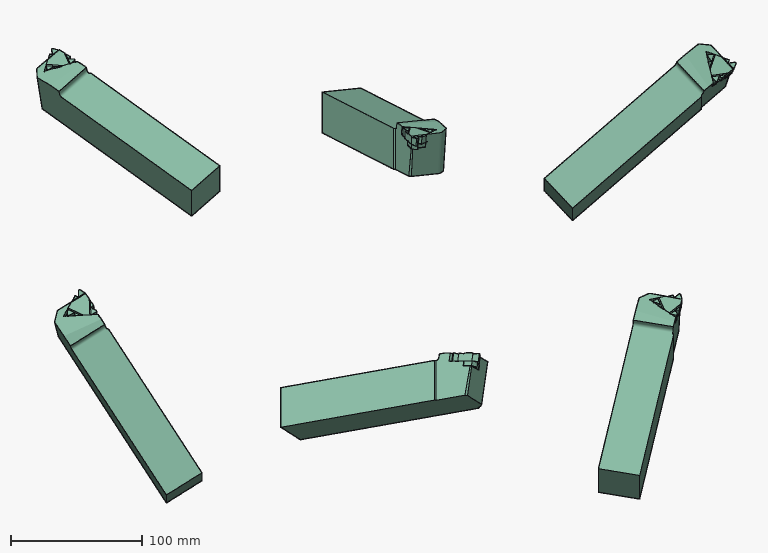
import cadquery as cq
import math

LENGTH = 169.9
SHANK = 32.1
HEAD_HEIGHT = 37.0
STOCK_START = 3.4
HEAD_BACK_TOP = 34.0
HEAD_BACK_BASE = 34.8
STEP_FILLET = 2.5
SIDE_RELIEF = 1.0
RELIEF_END = 37.7

FACET_SLOPE_X = 0.17
FACET_SLOPE_Y = -0.023
FACET_START = 25.1
INSERT_X = 11.4
INSERT_Y = 24.1
INSERT_Z = HEAD_HEIGHT + FACET_SLOPE_X * (INSERT_X - FACET_START) + FACET_SLOPE_Y * INSERT_Y

NOSE_FRONT = -6.6
NOSE_CORNER_Y = -17.3
NOSE_RELIEF_Y = 6.3
NOSE_FILLET = 2.9
NOSE_SIDE = 34.0
NOSE_REAR = 220.9
NOSE_DEPTH = 119.0

INRADIUS = 8.0
CORNERS = 3
CORNER_ANGLE = 360 / CORNERS
INSERT_THICKNESS = 6.5
SEAT_THICKNESS = 3.7

SEAT_FRONT = -7.3
SEAT_TIP = -9.9
SEAT_BACK_Y = 7.8
SEAT_TIP_Y = 3.5
SEAT_FLANK_Y = 2.7
SEAT_END_Y = -4.0

TOOTH_ROOT = -7.1
TOOTH_TIP = -11.5
TIP_HIGH_Y = 6.0
TIP_LOW_Y = 4.8
NOTCH_Y = 1.9
SPUR_Y = 0.5
BEVEL_START = -6.3
RAKE_DEPTH = 0.71

FACET = cq.Plane(
    origin=(INSERT_X, INSERT_Y, INSERT_Z),
    xDir=(1, 0, FACET_SLOPE_X),
    normal=(-FACET_SLOPE_X, -FACET_SLOPE_Y, 1),
)


def rotate_point(point, degrees):
    """Turn a facet-plane point about the insert centre."""
    x, y = point
    angle = math.radians(degrees)
    return (x * math.cos(angle) - y * math.sin(angle), x * math.sin(angle) + y * math.cos(angle))


def around_corners(points):
    """Repeat an outline stretch at each of the insert corners."""
    return [rotate_point(p, i * CORNER_ANGLE) for i in range(CORNERS) for p in points]


def facet_prism(points, depth, start=0.0):
    """Prism going down from the facet, beginning at the given depth."""
    return cq.Workplane(FACET).workplane(offset=-start).polyline(points).close().extrude(-depth)


def make_stock():
    """Square shank with a raised head and a filleted step between them."""
    return (
        cq.Workplane("XZ")
        .moveTo(STOCK_START, 0)
        .lineTo(LENGTH, 0)
        .lineTo(LENGTH, SHANK)
        .lineTo(HEAD_BACK_BASE, SHANK)
        .lineTo(HEAD_BACK_TOP, HEAD_HEIGHT)
        .lineTo(STOCK_START, HEAD_HEIGHT)
        .close()
        .extrude(-SHANK)
        .edges(cq.selectors.NearestToPointSelector((HEAD_BACK_BASE, SHANK / 2, SHANK)))
        .fillet(STEP_FILLET)
    )


def make_side_relief():
    """Shallow cut along the +Y side of the head, ending in a 45 degree ramp."""
    return (
        cq.Workplane("XY")
        .polyline([
            (STOCK_START, SHANK),
            (RELIEF_END, SHANK),
            (RELIEF_END - SIDE_RELIEF, SHANK - SIDE_RELIEF),
            (STOCK_START, SHANK - SIDE_RELIEF),
        ])
        .close()
        .extrude(HEAD_HEIGHT)
    )


def make_nose_envelope():
    """Prism that trims the tilted facet, the nose front and its corner flats."""
    corner_run = NOSE_SIDE + NOSE_CORNER_Y
    relief_run = NOSE_SIDE - NOSE_RELIEF_Y
    envelope = facet_prism([
        (NOSE_REAR, -NOSE_SIDE),
        (NOSE_FRONT + corner_run, -NOSE_SIDE),
        (NOSE_FRONT, NOSE_CORNER_Y),
        (NOSE_FRONT, NOSE_RELIEF_Y),
        (NOSE_FRONT + relief_run, NOSE_SIDE),
        (NOSE_REAR, NOSE_SIDE),
    ], NOSE_DEPTH)
    edge_middle = FACET.toWorldCoords((NOSE_FRONT, NOSE_CORNER_Y, -NOSE_DEPTH / 2))
    return envelope.edges(cq.selectors.NearestToPointSelector(edge_middle.toTuple())).fillet(NOSE_FILLET)


def make_pocket():
    """Triangular pocket with sharp corners."""
    half_side = INRADIUS * math.sqrt(3)
    return facet_prism(around_corners([(-half_side, INRADIUS)]), INSERT_THICKNESS)


def make_seat():
    """Pointed ledge that carries the insert tooth ahead of the nose."""
    return facet_prism([
        (0, SEAT_BACK_Y),
        (SEAT_FRONT, SEAT_BACK_Y),
        (SEAT_TIP, SEAT_TIP_Y),
        (SEAT_FRONT, SEAT_FLANK_Y),
        (SEAT_FRONT, SEAT_END_Y),
        (0, SEAT_END_Y),
    ], SEAT_THICKNESS, INSERT_THICKNESS)


def make_holder():
    """Shank with the trimmed nose, insert pocket and seat ledge."""
    body = make_stock().cut(make_side_relief()).intersect(make_nose_envelope())
    return body.cut(make_pocket()).union(make_seat())


def make_rake_groove():
    """Wedge that slopes from the tooth tip to a bevel behind the tooth root."""
    return (
        cq.Workplane("XZ")
        .polyline([(BEVEL_START, 0), (TOOTH_ROOT, -RAKE_DEPTH), (TOOTH_TIP, 0)])
        .close()
        .extrude(INRADIUS * 2, both=True)
    )


def make_insert():
    """Three-cornered threading insert with one tooth and rake groove per corner."""
    outline = around_corners([
        (TOOTH_ROOT, INRADIUS),
        (TOOTH_TIP, TIP_HIGH_Y),
        (TOOTH_TIP, TIP_LOW_Y),
        (TOOTH_ROOT, NOTCH_Y),
        (-(INRADIUS + SPUR_Y / 2) / math.cos(math.radians(CORNER_ANGLE / 4)), SPUR_Y),
    ])
    body = facet_prism(outline, INSERT_THICKNESS)
    groove = make_rake_groove()
    for i in range(CORNERS):
        turned = groove.rotate((0, 0, 0), (0, 0, 1), i * CORNER_ANGLE)
        body = body.cut(cq.Workplane(turned.val().moved(cq.Location(FACET))))
    return body


holder = make_holder()
insert = make_insert()
result = cq.Compound.makeCompound([holder.solids().val(), insert.solids().val()])